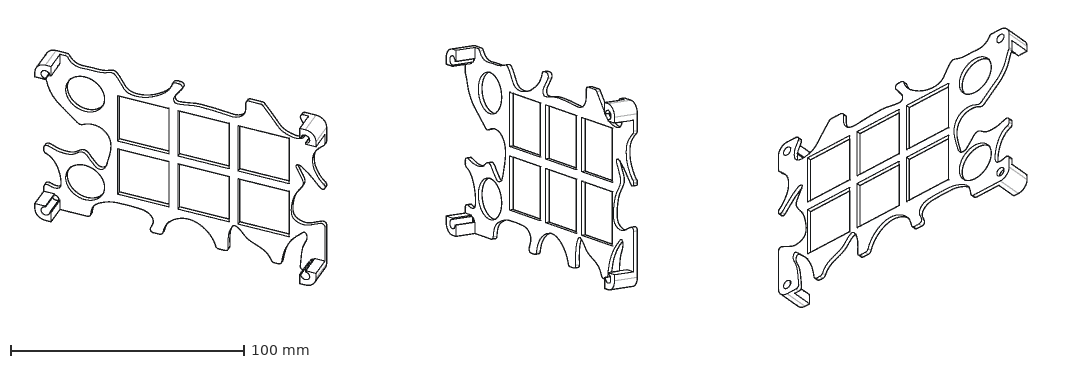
import cadquery as cq
length = 131.0
depth = 11.8
height = 82.0
corner_radius = 5.0
plate_thickness = 2.0
tip_radius = 1.6
tolerance = 0.01

finger_tip_radius = 1.2
finger_low_z = 1.3
finger_high_z = 7.9

post_size = 7.6
post_hole_diameter = 4.0
post_hole_inset = 5.0

window_size = 23.8
window_pitch = 28.0
window_columns = 3
window_rows = 2
grid_center_x = 8.9
grid_center_z = 0.7

round_opening_diameter = 18.1
round_opening_x = -46.2
round_opening_center_z = -0.1
round_opening_spacing = 46.6

top_left_bite = [
    (-55.2, 42.5), (-54.5, 40.7), (-52.9, 38.4), (-49.6, 36.7), (-44.7, 36.7), (-39.3, 36.7),
    (-35.9, 37.5), (-33.4, 38.0), (-31.7, 36.7), (-29.5, 33.3), (-27.0, 30.0), (-22.5, 28.8),
    (-17.5, 29.6), (-11.7, 32.5), (-7.2, 36.5), (-5.8, 39.7), (-5.2, 42.5),
]
top_middle_bite = [
    (0.1, 42.5), (-1.3, 38.3), (-3.8, 34.7), (-5.0, 32.1), (-4.3, 30.5), (-2.8, 30.3),
    (4.6, 31.5), (9.0, 31.6), (14.4, 31.3), (18.9, 30.9), (23.8, 30.8), (26.1, 31.7),
    (28.0, 34.0), (28.5, 37.0), (28.8, 42.5),
]
top_right_bite = [
    (35.4, 42.5), (37.6, 39.2), (41.5, 34.3), (45.6, 29.6), (48.5, 28.3), (51.9, 27.6),
    (54.4, 28.2), (56.1, 29.9), (56.5, 32.4), (56.0, 35.2), (54.4, 38.3), (54.0, 42.5),
]
right_upper_bite = [
    (67.2, 29.0), (65.0, 27.4), (62.4, 24.9), (60.3, 21.6), (59.7, 18.2), (60.1, 14.7),
    (61.6, 11.3), (63.8, 8.0), (67.2, 5.6),
]
right_lower_bite = [
    (67.2, 2.0), (62.5, 5.5), (58.3, 10.2), (55.4, 12.7), (52.9, 13.8), (52.1, 13.4),
    (52.4, 11.8), (54.6, 7.5), (55.4, 4.8), (54.6, 2.4), (51.9, -1.8), (50.2, -7.1),
    (49.8, -11.0), (50.7, -14.8), (53.5, -16.6), (56.9, -16.9), (59.9, -15.7), (63.3, -14.1),
    (67.2, -13.4),
]
bottom_right_bite = [
    (53.7, -42.7), (54.0, -38.8), (54.4, -34.3), (55.7, -27.4), (56.9, -21.9), (56.3, -21.1),
    (54.0, -22.4), (50.5, -26.2), (47.0, -32.1), (45.6, -37.7), (44.8, -42.7),
]
bottom_mid_right_bite = [
    (41.1, -42.7), (39.8, -38.8), (38.1, -36.5), (33.1, -33.8), (28.8, -31.3), (24.8, -27.1),
    (23.3, -26.6), (21.9, -28.2), (20.7, -31.6), (20.5, -37.3), (20.2, -42.7),
]
bottom_mid_left_bite = [
    (14.9, -42.7), (14.0, -38.3), (12.5, -35.4), (9.0, -31.8), (4.0, -29.5), (0.4, -29.3),
    (-5.8, -32.1), (-8.8, -35.8), (-10.0, -39.3), (-10.7, -42.7),
]
bottom_left_bite = [
    (-16.5, -42.7), (-14.9, -36.8), (-14.5, -34.8), (-15.3, -32.6), (-17.2, -31.0), (-22.0, -30.0),
    (-29.0, -29.9), (-33.9, -30.3), (-38.4, -31.8), (-42.3, -34.8), (-43.5, -38.3), (-44.0, -42.7),
]
left_lower_bite = [
    (-67.0, -28.8), (-63.5, -29.5), (-60.0, -30.3), (-58.3, -29.6), (-57.5, -26.9), (-58.0, -22.4),
    (-59.7, -17.7), (-62.5, -14.3), (-67.0, -12.8),
]
left_upper_bite = [
    (-67.0, -8.8), (-62.2, -9.3), (-59.7, -10.2), (-55.8, -10.7), (-51.6, -10.0), (-47.4, -7.7),
    (-45.7, -8.5), (-44.1, -10.5), (-42.5, -12.5), (-40.5, -14.3), (-38.4, -14.3), (-35.9, -9.8),
    (-34.3, -2.6), (-35.1, 3.5), (-38.8, 7.3), (-42.7, 8.1), (-46.2, 7.3), (-48.2, 6.5),
    (-51.1, 8.4), (-57.5, 13.8), (-61.0, 17.7), (-63.5, 22.7), (-64.3, 25.4), (-66.2, 29.1),
]

border_bites = [
    top_left_bite, top_middle_bite, top_right_bite,
    right_upper_bite, right_lower_bite,
    bottom_right_bite, bottom_mid_right_bite, bottom_mid_left_bite, bottom_left_bite,
    left_lower_bite, left_upper_bite,
]

back_y = depth / 2
post_hole_x = length / 2 - post_hole_inset
post_hole_z = height / 2 - post_hole_inset
corner_signs = [(sx, sz) for sx in (-1, 1) for sz in (-1, 1)]


def back_sketch():
    """Workplane on the back face: local x is X, local y is Z, extrusion runs toward -Y."""
    return cq.Workplane("XZ", origin=(0, back_y, 0))


def rounded_block(thickness):
    """Full outer rectangle with rounded corners, grown forward from the back face."""
    return back_sketch().rect(length, height).extrude(thickness).edges("|Y").fillet(corner_radius)


def bite(points):
    """Closed curve through the points, as deep as the plate."""
    return back_sketch().spline(points).close().extrude(plate_thickness)


def is_border_tip(edge):
    """True for an edge that crosses the plate straight where a bite leaves the border."""
    box = edge.BoundingBox()
    center = edge.Center()
    gap_x = length / 2 - abs(center.x)
    gap_z = height / 2 - abs(center.z)
    crosses_plate = box.xlen < tolerance and box.zlen < tolerance
    on_border = min(gap_x, gap_z) < tolerance
    on_rounded_corner = max(gap_x, gap_z) < corner_radius + tolerance
    return crosses_plate and on_border and not on_rounded_corner


def tip_edges(plate):
    return [edge for edge in plate.edges().vals() if is_border_tip(edge)]


def is_on_finger(edge):
    center = edge.Center()
    return center.x > 0 and finger_low_z < center.z < finger_high_z


def organic_plate():
    """Thin plate with bites out of its border and every tip on the border rounded."""
    plate = rounded_block(plate_thickness)
    for points in border_bites:
        plate = plate.cut(bite(points))
    broad_tips = [edge for edge in tip_edges(plate) if not is_on_finger(edge)]
    plate = plate.newObject(broad_tips).fillet(tip_radius)
    finger_tips = [edge for edge in tip_edges(plate) if is_on_finger(edge)]
    return plate.newObject(finger_tips).fillet(finger_tip_radius)


def post_columns():
    """L-shaped corner posts: squares whose inner quadrant stops at the hole centre."""
    post_center_x = (length - post_size) / 2
    post_center_z = (height - post_size) / 2
    squares = [(sx * post_center_x, sz * post_center_z) for sx, sz in corner_signs]
    columns = back_sketch().pushPoints(squares).rect(post_size, post_size).extrude(depth)
    inner_relief = (
        back_sketch().workplane(offset=plate_thickness)
        .rect(2 * post_hole_x, 2 * post_hole_z).extrude(depth)
    )
    return columns.cut(inner_relief).intersect(rounded_block(depth))


def post_holes():
    """Holes through the posts and the plate behind them."""
    centers = [(sx * post_hole_x, sz * post_hole_z) for sx, sz in corner_signs]
    return back_sketch().pushPoints(centers).circle(post_hole_diameter / 2).extrude(depth)


def windows():
    return (
        back_sketch().center(grid_center_x, grid_center_z)
        .rarray(window_pitch, window_pitch, window_columns, window_rows)
        .rect(window_size, window_size).extrude(plate_thickness)
    )


def round_openings():
    return (
        back_sketch().center(round_opening_x, round_opening_center_z)
        .rarray(1.3, round_opening_spacing, 1, 2)
        .circle(round_opening_diameter / 2).extrude(plate_thickness)
    )


result = (
    organic_plate()
    .union(post_columns())
    .cut(windows())
    .cut(round_openings())
    .cut(post_holes())
)